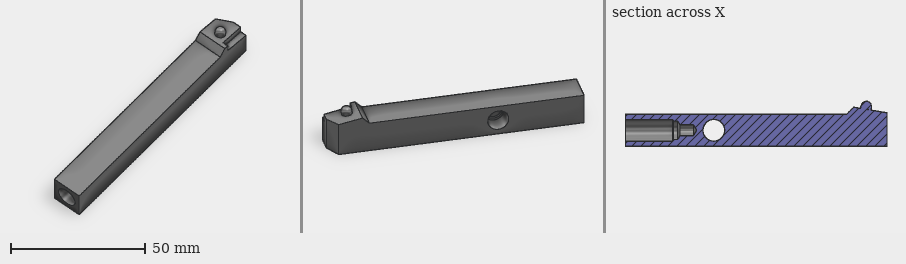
import cadquery as cq
import math

length = 97.5
width = 12.0
half_width = width / 2

total_height = 16.9
crest_height = 14.6
crest_to_tip = 12.5
nose_angle = 9.5
nose_slope = math.tan(math.radians(nose_angle))
crest_y = length - crest_to_tip
ramp_foot_y = crest_y - (crest_height - width)

bevel_width = 5.8
bevel_angle = 30.0

pin_diameter = 4.1
pin_head_to_tip = 7.8
pin_shank_length = 1.95

seat_length = 10.6
seat_width_rear = 2.3
seat_taper = 1.5
seat_depth = 2.9
seat_floor_length = 8.9
seat_rest_slope = math.tan(math.radians(17.0))

bore_diameter = 8.0
drill_diameter = 6.8
pilot_diameter = 4.0
drill_tip_angle = 118.0
rear_bore_depth = 17.55
rear_drill_depth = 19.5
pilot_depth = 25.35
side_hole_y = 33.0
side_bore_depth = 6.8
side_drill_depth = 8.3


def nose_top(y):
    """Height of the sloping nose top at a given Y."""
    return crest_height - nose_slope * (y - crest_y)


def cone_length(large_diameter, small_diameter=0.0):
    """Length of a drill-point cone between two diameters."""
    return (large_diameter - small_diameter) / 2 / math.tan(math.radians(drill_tip_angle / 2))


def revolved_tool(profile):
    """Solid of revolution about Z from (diameter, depth) pairs, first and last on the axis."""
    points = [(diameter / 2, depth) for diameter, depth in profile]
    return cq.Workplane("XZ").polyline(points).close().revolve(360, (0, 0, 0), (0, 1, 0))


def bore_profile(bore_depth, drill_depth):
    """Bore stepping down through a drill-point cone to a deeper drilled hole, without its end."""
    return [
        (0, 0),
        (bore_diameter, 0),
        (bore_diameter, bore_depth),
        (drill_diameter, bore_depth + cone_length(bore_diameter, drill_diameter)),
        (drill_diameter, drill_depth),
    ]


def make_body():
    side_profile = [
        (0, 0),
        (length, 0),
        (length, nose_top(length)),
        (crest_y, crest_height),
        (ramp_foot_y, width),
        (0, width),
    ]
    return cq.Workplane("YZ").polyline(side_profile).close().extrude(half_width, both=True)


def make_corner_bevel():
    bevel_length = bevel_width * math.tan(math.radians(bevel_angle))
    corner = [
        (-half_width, length),
        (-half_width + bevel_width, length),
        (-half_width, length - bevel_length),
    ]
    return cq.Workplane("XY").polyline(corner).close().extrude(total_height)


def make_seat():
    seat_rear_y = length - seat_length
    rest_foot_y = length - seat_floor_length
    rest_foot_z = nose_top(rest_foot_y) - seat_depth
    rest_top_z = rest_foot_z + seat_rest_slope * (rest_foot_y - seat_rear_y)
    elevation = [
        (seat_rear_y, total_height),
        (seat_rear_y, rest_top_z),
        (rest_foot_y, rest_foot_z),
        (length, nose_top(length) - seat_depth),
        (length, total_height),
    ]
    seat_width_tip = seat_width_rear + seat_length * math.tan(math.radians(seat_taper))
    plan = [
        (half_width, seat_rear_y),
        (half_width - seat_width_rear, seat_rear_y),
        (half_width - seat_width_tip, length),
        (half_width, length),
    ]
    upright = cq.Workplane("YZ").polyline(elevation).close().extrude(half_width)
    return upright.intersect(cq.Workplane("XY").polyline(plan).close().extrude(total_height))


def make_rear_hole():
    pilot_end = [
        (pilot_diameter, rear_drill_depth + cone_length(drill_diameter, pilot_diameter)),
        (pilot_diameter, pilot_depth),
        (0, pilot_depth + cone_length(pilot_diameter)),
    ]
    tool = revolved_tool(bore_profile(rear_bore_depth, rear_drill_depth) + pilot_end)
    return tool.rotate((0, 0, 0), (1, 0, 0), -90).translate((0, 0, half_width))


def make_side_hole():
    drill_end = [(0, side_drill_depth + cone_length(drill_diameter))]
    tool = revolved_tool(bore_profile(side_bore_depth, side_drill_depth) + drill_end)
    return tool.rotate((0, 0, 0), (0, 1, 0), 90).translate((-half_width, side_hole_y, half_width))


def make_pin():
    pin_radius = pin_diameter / 2
    head_centre = (0, length - pin_head_to_tip, total_height - pin_radius)
    shank = cq.Workplane("XY").circle(pin_radius).extrude(-pin_shank_length)
    pin = shank.union(cq.Workplane("XY").sphere(pin_radius))
    return pin.rotate((0, 0, 0), (1, 0, 0), -nose_angle).translate(head_centre)


result = make_body().cut(make_corner_bevel()).cut(make_seat())
result = result.cut(make_rear_hole()).cut(make_side_hole()).union(make_pin())